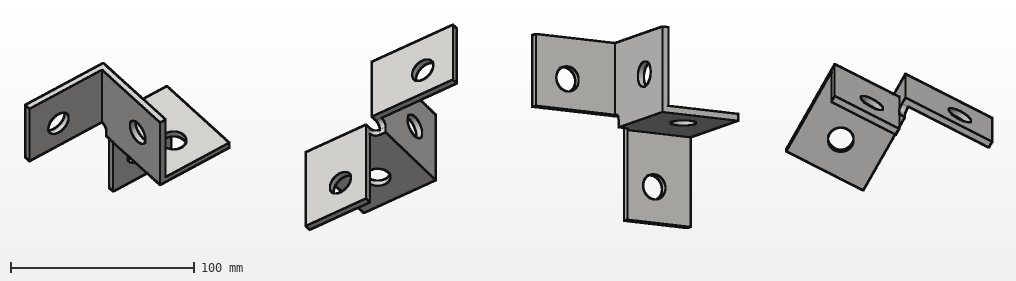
import cadquery as cq

height = 97.6
web_length = 55.8
thickness = 3.9
flange_length = 53.8
relief_radius = 3.8
hole_diameter = 14.0
hole_end_offset = 20.0
hole_side_offset = 23.0

web_outer = flange_length
web_inner = web_outer - thickness
relief_edge = web_outer + relief_radius
relief_depth = thickness + relief_radius
hole_side = height - hole_side_offset


def block(x_range, y_range, z_range):
    """Box spanning the given start and end along each axis."""
    spans = (x_range, y_range, z_range)
    sizes = [end - start for start, end in spans]
    starts = tuple(start for start, end in spans)
    return cq.Workplane("XY").box(*sizes, centered=False).translate(starts)


def hole(plane, u, v):
    """Through-all cutter, normal to the given plane."""
    return cq.Workplane(plane).center(u, v).circle(hole_diameter / 2).extrude(height, both=True)


def make_relief():
    """Notch profile in X and Z with one rounded corner, through the vertical web."""
    return (
        cq.Workplane("XZ", origin=(0, web_outer, 0))
        .moveTo(0, web_inner)
        .lineTo(0, relief_edge)
        .lineTo(thickness, relief_edge)
        .radiusArc((relief_depth, web_outer), relief_radius)
        .lineTo(relief_depth, web_inner)
        .close()
        .extrude(thickness)
    )


def mirror_y_z(shape):
    """Swap the Y and Z directions."""
    return shape.mirror("XY").rotate((0, 0, 0), (1, 0, 0), 90)


vertical_web = block((0, web_length), (web_inner, web_outer), (web_inner, height))
upper_flange = block((0, thickness), (0, web_outer), (relief_edge, height))
vertical_half = vertical_web.cut(make_relief())
vertical_half = vertical_half.union(upper_flange)
vertical_half = vertical_half.cut(hole("XZ", web_length - hole_end_offset, hole_side))
vertical_half = vertical_half.cut(hole("YZ", hole_end_offset, hole_side))

result = vertical_half.union(mirror_y_z(vertical_half))